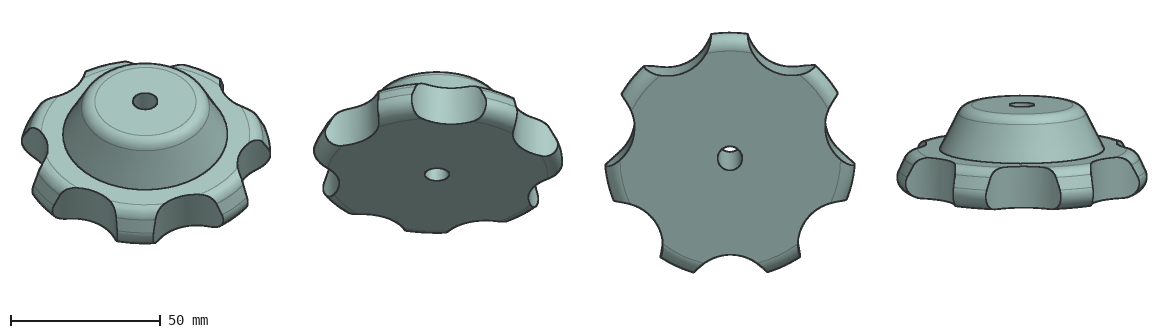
import cadquery as cq
import math

total_height = 29.0
flange_height = 14.0

wall_angle = 26.6
rounding = 5.0

rim_radius = 41.85
hub_base_radius = 27.5
bore_diameter = 8.2

scallop_count = 7
scallop_radius = 14.8
scallop_floor_radius = 33.0

wall_slope = math.tan(math.radians(wall_angle))


def rounded_cone(base_radius, height, base_z, rounded_edges):
    """Solid with a leaning wall and the selected circular edges rounded."""
    top_radius = base_radius - height * wall_slope
    cone = cq.Workplane("XY").add(cq.Solid.makeCone(base_radius, top_radius, height))
    return cone.faces(rounded_edges).edges().fillet(rounding).translate((0, 0, base_z))


corner_angle = math.radians((90 + wall_angle) / 2)
flange_base_radius = rim_radius - rounding + rounding * math.tan(corner_angle)
flange = rounded_cone(flange_base_radius, flange_height, 0, "<Z or >Z")

hub = rounded_cone(hub_base_radius, total_height - flange_height, flange_height, ">Z")

scallops = (
    cq.Workplane("XY")
    .polarArray(scallop_floor_radius + scallop_radius, 0, 360, scallop_count)
    .circle(scallop_radius)
    .extrude(flange_height)
)

bore = cq.Workplane("XY").circle(bore_diameter / 2).extrude(total_height)

result = flange.cut(scallops).union(hub).cut(bore)